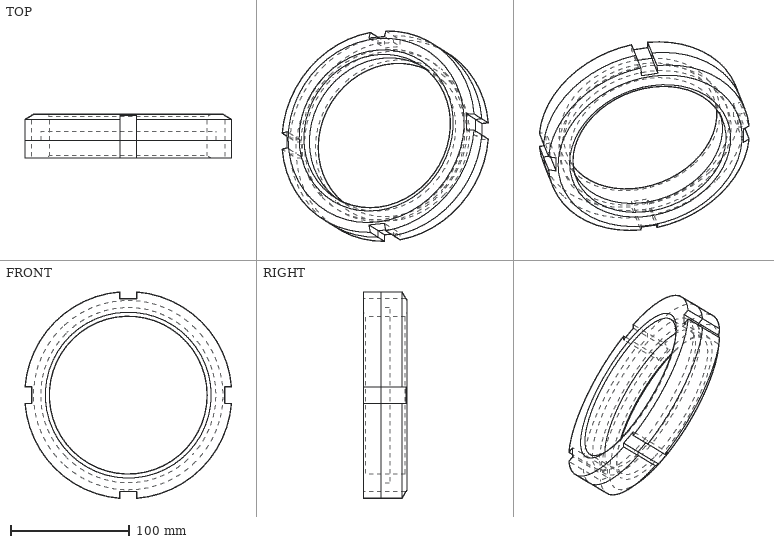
import cadquery as cq

outer_radius = 87.5
bore_radius = 66.5
total_length = 37.0
front_length = 15.0

rim_cone_width = 7.5
rim_cone_length = 4.33

mouth_radius = 70.0
mouth_depth = 2.0

slot_count = 4
slot_width = 14.0
slot_depth = 6.0

spigot_length = 7.5
spigot_radius = (bore_radius + outer_radius - slot_depth) / 2
spigot_end = front_length + spigot_length


def revolve_ring(profile):
    """Revolve a closed (radius, Y) profile around the Y axis."""
    return cq.Workplane("XY").polyline(profile).close().revolve(360, (0, 0, 0), (0, 1, 0))


def cut_spanner_slots(ring):
    """Cut the evenly spaced slots through the rim along the whole axis."""
    slot = (
        cq.Workplane("XY")
        .box(2 * slot_depth, total_length, slot_width, centered=(False, False, True))
        .translate((outer_radius - slot_depth, 0, 0))
    )
    for index in range(slot_count):
        angle = index * 360 / slot_count
        ring = ring.cut(slot.rotate((0, 0, 0), (0, 1, 0), angle))
    return ring


def make_front_ring():
    """Straight-rimmed ring with a spigot on its back and a countersink on its front."""
    profile = [
        (mouth_radius, 0),
        (outer_radius, 0),
        (outer_radius, front_length),
        (spigot_radius, front_length),
        (spigot_radius, spigot_end),
        (bore_radius, spigot_end),
        (bore_radius, mouth_depth),
    ]
    return cut_spanner_slots(revolve_ring(profile))


def make_back_ring():
    """Recessed ring with a tapered outer rim and a countersink on its back."""
    profile = [
        (bore_radius, spigot_end),
        (spigot_radius, spigot_end),
        (spigot_radius, front_length),
        (outer_radius, front_length),
        (outer_radius, total_length - rim_cone_length),
        (outer_radius - rim_cone_width, total_length),
        (mouth_radius, total_length),
        (bore_radius, total_length - mouth_depth),
    ]
    return cut_spanner_slots(revolve_ring(profile))


front_ring = make_front_ring()
back_ring = make_back_ring()

result = cq.Compound.makeCompound([front_ring.val(), back_ring.val()])